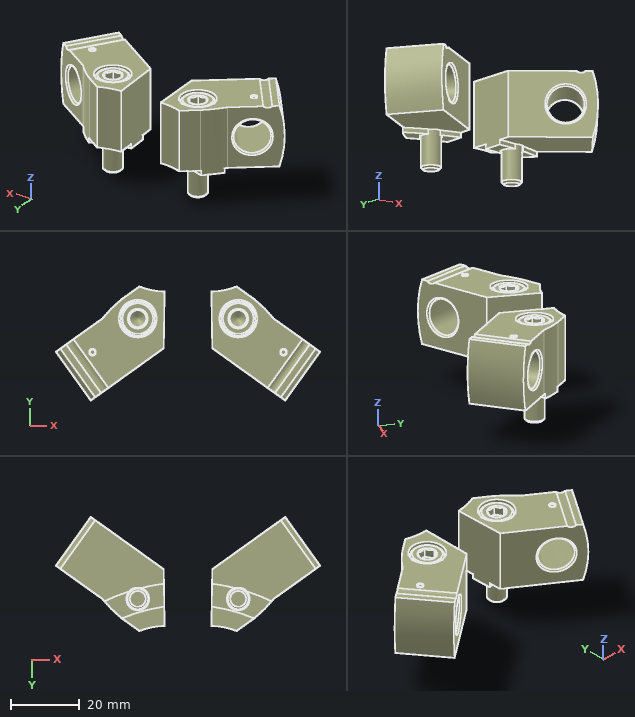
import cadquery as cq
import math


half_span = 38.55
arm_angle = 35.6
arm_width = 17.5
shoulder_step = 1.3
block_height = 20.0
end_bulge_radius = 32.0
corner_y = -75.2

waist_back = 16.8
shoulder_back = 24.75
front_corner_back = 26.2
peak_back = 30.9
shoulder_radius = 38.55
rear_radius = 20.05
rear_corner_x = 6.8
rear_corner_y = -43.3

key_inner_radius = 49.5
key_outer_radius = 56.1
key_height = 1.5

bore_diameter = 10.95
bore_back = 9.5
bore_chamfer = 0.55
groove_back = 5.0
groove_width = 2.6
groove_depth = 0.55
dimple_diameter = 1.55
dimple_rim_diameter = 2.0
dimple_depth = 1.0
dimple_back = 8.6
dimple_across = 11.2
counterbore_diameter = 11.0
clearance_diameter = 6.6

screw_x = 14.65
screw_y = -51.3
shank_diameter = 6.0
shank_chamfer = 0.7
shank_length = 25.0
head_diameter = 10.0
head_height = 6.0
head_chamfer = 0.55
tip_z = -11.4
socket_flats = 4.9
socket_rim_diameter = 5.8
socket_depth = 3.0
socket_cone_angle = 120.0

arm_cos = math.cos(math.radians(arm_angle))
arm_sin = math.sin(math.radians(arm_angle))
corner_x = half_span - arm_width * arm_sin
head_seat_z = tip_z + shank_length
cut_margin = 3.85


def arm_point(back, across):
    """Point at a distance back from the tip and across from the front face of the right arm."""
    x = corner_x - back * arm_cos + across * arm_sin
    y = corner_y + back * arm_sin + across * arm_cos
    return (x, y)


def on_arm(shape):
    """Move a shape from arm axes (X toward the tip, Y across the arm) onto the right arm."""
    return shape.rotate((0, 0, 0), (0, 0, 1), -arm_angle).translate((corner_x, corner_y, 0))


def outline():
    """Plan outline of the right block, as a closed wire."""
    wide = arm_width + shoulder_step
    peak = arm_point(peak_back, wide)
    return (
        cq.Workplane("XY")
        .moveTo(*arm_point(0, 0))
        .lineTo(*arm_point(0, arm_width))
        .lineTo(*arm_point(waist_back, arm_width))
        .radiusArc(arm_point(shoulder_back, wide), -shoulder_radius)
        .lineTo(*peak)
        .radiusArc((rear_corner_x, rear_corner_y), rear_radius)
        .lineTo(*arm_point(front_corner_back, 0))
        .close()
    )


def rounded_end():
    """Bar that trims the tip of the arm to a cylinder running across it."""
    length = 2 * half_span
    sagitta = end_bulge_radius - math.sqrt(end_bulge_radius**2 - (block_height / 2) ** 2)
    profile = (
        cq.Workplane("XZ")
        .moveTo(-length, -key_height)
        .lineTo(-sagitta, -key_height)
        .lineTo(-sagitta, 0)
        .threePointArc((0, block_height / 2), (-sagitta, block_height))
        .lineTo(-length, block_height)
        .close()
        .extrude(-length, both=True)
    )
    return on_arm(profile)


def key():
    """Arc-shaped key, limited to the plan outline of the block."""
    ring = cq.Workplane("XY").circle(key_outer_radius).circle(key_inner_radius).extrude(-key_height)
    return outline().extrude(-key_height).intersect(ring)


def cross_bore():
    """Bore across the arm, with a chamfer at both mouths."""
    radius = bore_diameter / 2
    mouth = radius + bore_chamfer
    profile = (
        cq.Workplane("XY")
        .moveTo(0, 0)
        .lineTo(mouth, 0)
        .lineTo(radius, bore_chamfer)
        .lineTo(radius, arm_width - bore_chamfer)
        .lineTo(mouth, arm_width)
        .lineTo(0, arm_width)
        .close()
        .revolve(360, (0, 0, 0), (0, 1, 0))
    )
    return on_arm(profile.translate((-bore_back, 0, block_height / 2)))


def top_groove():
    """Shallow round groove across the top of the arm near its tip."""
    radius = ((groove_width / 2) ** 2 + groove_depth**2) / (2 * groove_depth)
    cutter = (
        cq.Workplane("XZ")
        .center(-groove_back, block_height - groove_depth + radius)
        .circle(radius)
        .extrude(-(arm_width + 2 * cut_margin))
        .translate((0, -cut_margin, 0))
    )
    return on_arm(cutter)


def dimple():
    """Small countersunk blind hole in the top face."""
    rim = (dimple_rim_diameter - dimple_diameter) / 2
    return (
        cq.Workplane("XY", origin=(0, 0, block_height))
        .center(*arm_point(dimple_back, dimple_across))
        .circle(dimple_diameter / 2)
        .extrude(-dimple_depth)
        .faces(">Z")
        .workplane()
        .circle(dimple_rim_diameter / 2)
        .workplane(offset=-rim)
        .circle(dimple_diameter / 2)
        .loft()
    )


def screw_hole():
    """Counterbored clearance hole for the screw."""
    at_screw = cq.Workplane("XY", origin=(screw_x, screw_y, head_seat_z))
    counterbore = at_screw.circle(counterbore_diameter / 2).extrude(block_height)
    clearance = at_screw.circle(clearance_diameter / 2).extrude(-block_height)
    return counterbore.union(clearance)


def block():
    """Block on the +X side."""
    body = outline().extrude(block_height).union(key()).intersect(rounded_end())
    for cutter in (cross_bore(), top_groove(), dimple(), screw_hole()):
        body = body.cut(cutter)
    return body


def hex_socket():
    """Hexagonal socket with a countersunk rim and a drilled cone at its floor."""
    corner_diameter = socket_flats / math.cos(math.radians(30))
    top_centre = cq.Vector(screw_x, screw_y, head_seat_z + head_height)
    hexagon = cq.Workplane("XY", origin=top_centre).polygon(6, corner_diameter).extrude(-socket_depth)

    down = cq.Vector(0, 0, -1)
    rim_radius = socket_rim_diameter / 2
    rim_cone = cq.Solid.makeCone(rim_radius, 0, rim_radius, dir=down)
    floor_radius = socket_flats / 2
    floor_depth = floor_radius / math.tan(math.radians(socket_cone_angle / 2))
    floor_cone = cq.Solid.makeCone(floor_radius, 0, floor_depth, dir=down)
    rim = cq.Workplane(rim_cone.translate(top_centre))
    floor = cq.Workplane(floor_cone.translate(top_centre + down * socket_depth))
    return hexagon.union(rim).union(floor)


def screw():
    """Socket head screw on the +X side."""
    seat = cq.Workplane("XY", origin=(screw_x, screw_y, head_seat_z))
    shank = seat.circle(shank_diameter / 2).extrude(-shank_length).faces("<Z").chamfer(shank_chamfer)
    head = seat.circle(head_diameter / 2).extrude(head_height).faces(">Z").chamfer(head_chamfer)
    return head.union(shank).cut(hex_socket())


bodies = []
for make_body in (block, screw):
    right = make_body()
    left = right.mirror("YZ")
    bodies += [right.val(), left.val()]

result = cq.Compound.makeCompound(bodies)